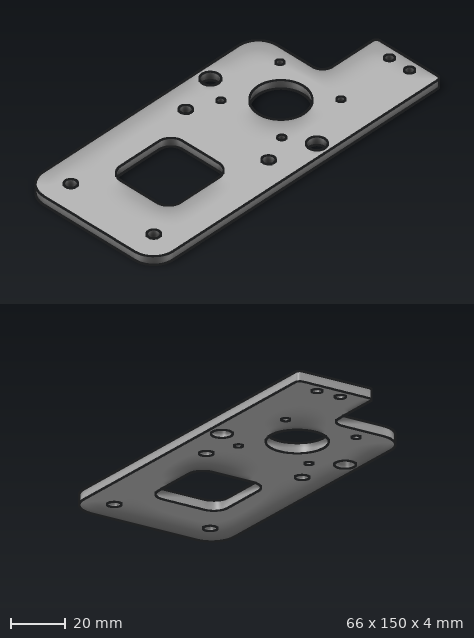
import cadquery as cq

width = 66.0
length = 150.0
thickness = 4.0
shoulder_y = 122.1
plate_corner_radius = 10.0

tab_left_x = 0.0
tab_corner_radius = 2.0
tab_root_radius = 5.0
tab_hole_diameter = 4.0
tab_hole_spacing = 10.2
tab_hole_center_x = 16.5
tab_hole_y = 145.2

motor_y = 100.2
motor_bore_diameter = 23.0
motor_screw_diameter = 3.3
motor_screw_spacing = 30.9

side_hole_diameter = 8.0
side_hole_spacing = 54.0
side_hole_y = 91.2

window_y = 42.2
window_width = 30.3
window_height = 32.1
window_corner_radius = 6.0
mount_hole_diameter = 5.2
mount_spacing_x = 42.0
mount_spacing_y = 60.0


def make_plate():
    """Plate with a tab on its upper right, with all outline corners rounded."""
    half_width = width / 2
    plate = (
        cq.Workplane("XY")
        .moveTo(-half_width, 0)
        .lineTo(half_width, 0)
        .lineTo(half_width, length)
        .lineTo(tab_left_x, length)
        .lineTo(tab_left_x, shoulder_y)
        .lineTo(-half_width, shoulder_y)
        .close()
        .extrude(thickness)
    )
    rounded_corners = [
        (-half_width, 0, plate_corner_radius),
        (half_width, 0, plate_corner_radius),
        (-half_width, shoulder_y, plate_corner_radius),
        (tab_left_x, shoulder_y, tab_root_radius),
        (tab_left_x, length, tab_corner_radius),
        (half_width, length, tab_corner_radius),
    ]
    for x, y, radius in rounded_corners:
        corner = cq.selectors.NearestToPointSelector((x, y, thickness / 2))
        plate = plate.edges("|Z").edges(corner).fillet(radius)
    return plate


def pair(center_x, y, spacing):
    """Two points side by side along X."""
    return [(center_x + side * spacing / 2, y) for side in (-1, 1)]


def rectangle_pattern(center_y, spacing_x, spacing_y):
    """Four corner points of a rectangle centred on X = 0."""
    lower = pair(0, center_y - spacing_y / 2, spacing_x)
    upper = pair(0, center_y + spacing_y / 2, spacing_x)
    return lower + upper


def hole_cutter(points, diameter):
    """Cylinders through the full plate thickness."""
    return cq.Workplane("XY").pushPoints(points).circle(diameter / 2).extrude(thickness)


def window_cutter():
    """Rectangular opening with rounded corners."""
    return (
        cq.Workplane("XY")
        .center(0, window_y)
        .rect(window_width, window_height)
        .extrude(thickness)
        .edges("|Z")
        .fillet(window_corner_radius)
    )


hole_groups = [
    (pair(tab_hole_center_x, tab_hole_y, tab_hole_spacing), tab_hole_diameter),
    ([(0, motor_y)], motor_bore_diameter),
    (rectangle_pattern(motor_y, motor_screw_spacing, motor_screw_spacing), motor_screw_diameter),
    (pair(0, side_hole_y, side_hole_spacing), side_hole_diameter),
    (rectangle_pattern(window_y, mount_spacing_x, mount_spacing_y), mount_hole_diameter),
]

result = make_plate().cut(window_cutter())
for hole_points, hole_diameter in hole_groups:
    result = result.cut(hole_cutter(hole_points, hole_diameter))